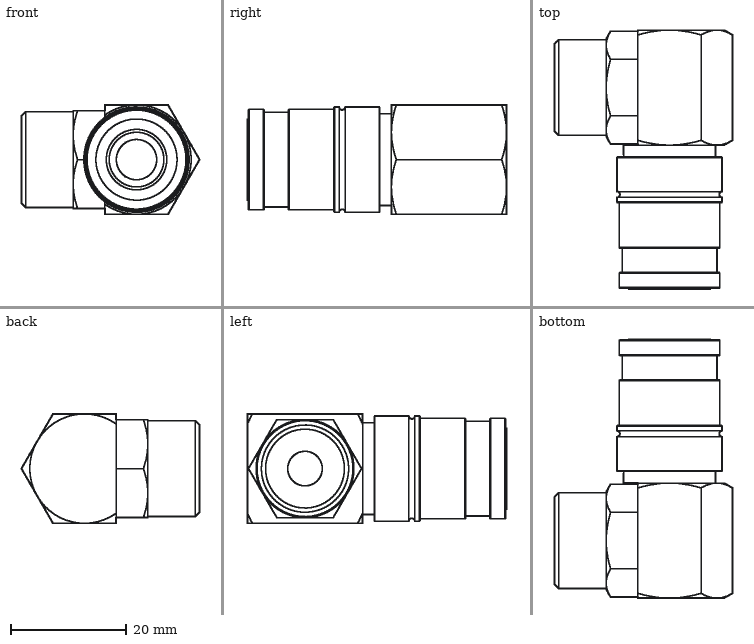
import cadquery as cq
import math


HEX_CHAMFER_ANGLE = math.radians(30)

BODY_FLATS = 19.0
BODY_LENGTH = 20.0
BODY_HALF_LENGTH = BODY_LENGTH / 2
BODY_CHAMFER_START_RADIUS = BODY_FLATS / 2

STUD_HEX_FLATS = 17.0
STUD_HEX_END = 11.0
STUD_HEX_CHAMFER_START_RADIUS = STUD_HEX_FLATS / 2
STUD_DIAMETER = 16.66
STUD_RADIUS = STUD_DIAMETER / 2
STUD_END = 20.0
STUD_TIP_CHAMFER = 0.75
STUD_BORE_RADIUS = 3.0
STUD_CONE_RADIUS = 6.85
STUD_CONE_HALF_ANGLE = math.radians(30)

NECK_RADIUS = 8.0
COLLAR_RADIUS = 9.15
SLEEVE_RADIUS = 8.75
WAIST_RADIUS = 8.25
LIP_RADIUS = 7.05

COLLAR_START = 12.0
COLLAR_END = 20.0
WAIST_START = 27.9
FLANGE_START = 32.1
COUPLING_END = 35.0
LIP_HEIGHT = 0.15
FLANGE_END = COUPLING_END - LIP_HEIGHT
EDGE_CHAMFER = 0.15

GROOVE_RADIUS = 0.5
GROOVE_CENTER = 18.55

SOCKET_RADIUS = 4.75
SOCKET_MOUTH_CHAMFER = 0.5
SOCKET_FLOOR = 15.0
PASSAGE_RADIUS = 3.5


def hex_corner_radius(flats):
    return flats / math.sqrt(3)


def revolve_about_y(points):
    """Turn a closed (radius, y) outline around the Y axis."""
    return cq.Workplane("XY").polyline(points).close().revolve(360, (0, 0, 0), (0, 1, 0))


def revolve_about_x(points):
    """Turn a closed (x, radius) outline around the X axis."""
    return cq.Workplane("XY").polyline(points).close().revolve(360, (0, 0, 0), (1, 0, 0))


def cylinder_section(radius, start, end, chamfer_start=0.0, chamfer_end=0.0):
    """Solid coupling cylinder running toward -Y, with optional edge chamfers."""
    section = cq.Workplane("XZ", origin=(0, -start, 0)).circle(radius).extrude(end - start)
    if chamfer_start:
        section = section.faces(">Y").chamfer(chamfer_start)
    if chamfer_end:
        section = section.faces("<Y").chamfer(chamfer_end)
    return section


def hexagonal_body():
    """Hexagon with both ends chamfered, cut flat where its -X corners lie."""
    corner_radius = hex_corner_radius(BODY_FLATS)
    flat_face_offset = corner_radius / 2
    chamfer_drop = (corner_radius - BODY_CHAMFER_START_RADIUS) * math.tan(HEX_CHAMFER_ANGLE)
    prism = (
        cq.Workplane("XZ", origin=(0, BODY_HALF_LENGTH, 0))
        .polygon(6, 2 * corner_radius)
        .extrude(BODY_LENGTH)
    )
    chamfered_ends = revolve_about_y([
        (0, -BODY_HALF_LENGTH),
        (BODY_CHAMFER_START_RADIUS, -BODY_HALF_LENGTH),
        (corner_radius, -BODY_HALF_LENGTH + chamfer_drop),
        (corner_radius, BODY_HALF_LENGTH - chamfer_drop),
        (BODY_CHAMFER_START_RADIUS, BODY_HALF_LENGTH),
        (0, BODY_HALF_LENGTH),
    ])
    kept_side = cq.Workplane("XY").box(
        flat_face_offset + corner_radius, BODY_LENGTH, BODY_FLATS, centered=(False, True, True)
    ).translate((-flat_face_offset, 0, 0))
    return prism.intersect(chamfered_ends).intersect(kept_side)


def stud():
    """Stud modelled as a plain cylinder at its thread diameter, standing on a smaller hexagon."""
    corner_radius = hex_corner_radius(STUD_HEX_FLATS)
    chamfer_drop = (corner_radius - STUD_HEX_CHAMFER_START_RADIUS) * math.tan(HEX_CHAMFER_ANGLE)
    prism = (
        cq.Workplane("YZ", origin=(-STUD_HEX_END, 0, 0))
        .polygon(6, 2 * corner_radius)
        .extrude(STUD_HEX_END)
    )
    chamfered_end = revolve_about_x([
        (-STUD_HEX_END, 0),
        (-STUD_HEX_END, STUD_HEX_CHAMFER_START_RADIUS),
        (-STUD_HEX_END + chamfer_drop, corner_radius),
        (0, corner_radius),
        (0, 0),
    ])
    barrel = (
        cq.Workplane("YZ", origin=(-STUD_END, 0, 0))
        .circle(STUD_RADIUS)
        .extrude(STUD_END)
        .faces("<X")
        .chamfer(STUD_TIP_CHAMFER)
    )
    return prism.intersect(chamfered_end).union(barrel)


def ring_groove():
    """Half-round groove, centred on the collar surface."""
    return (
        cq.Workplane("XY")
        .center(COLLAR_RADIUS, -GROOVE_CENTER)
        .circle(GROOVE_RADIUS)
        .revolve(360, (-COLLAR_RADIUS, 0, 0), (-COLLAR_RADIUS, 1, 0))
    )


def coupling():
    """Stepped round coupling, from the neck on the body face to its end lip."""
    collar = cylinder_section(COLLAR_RADIUS, COLLAR_START, COLLAR_END, EDGE_CHAMFER, EDGE_CHAMFER)
    sections = [
        collar.cut(ring_groove()),
        cylinder_section(SLEEVE_RADIUS, COLLAR_END, WAIST_START, chamfer_end=EDGE_CHAMFER),
        cylinder_section(WAIST_RADIUS, WAIST_START, FLANGE_START),
        cylinder_section(SLEEVE_RADIUS, FLANGE_START, FLANGE_END, EDGE_CHAMFER, EDGE_CHAMFER),
        cylinder_section(LIP_RADIUS, FLANGE_END, COUPLING_END),
    ]
    shape = cylinder_section(NECK_RADIUS, BODY_HALF_LENGTH, COLLAR_START)
    for section in sections:
        shape = shape.union(section)
    return shape


def stud_bore():
    """Conical seat at the stud mouth, leading into a round bore to the passage."""
    cone_depth = (STUD_CONE_RADIUS - STUD_BORE_RADIUS) / math.tan(STUD_CONE_HALF_ANGLE)
    return revolve_about_x([
        (-STUD_END, 0),
        (-STUD_END, STUD_CONE_RADIUS),
        (-STUD_END + cone_depth, STUD_BORE_RADIUS),
        (0, STUD_BORE_RADIUS),
        (0, 0),
    ])


def coupling_bore():
    """Chamfered socket and a blind passage that just clears the stud bore."""
    passage_end = PASSAGE_RADIUS
    return revolve_about_y([
        (0, -COUPLING_END),
        (SOCKET_RADIUS + SOCKET_MOUTH_CHAMFER, -COUPLING_END),
        (SOCKET_RADIUS, -COUPLING_END + SOCKET_MOUTH_CHAMFER),
        (SOCKET_RADIUS, -SOCKET_FLOOR),
        (PASSAGE_RADIUS, -SOCKET_FLOOR),
        (PASSAGE_RADIUS, passage_end),
        (0, passage_end),
    ])


solid_elbow = hexagonal_body().union(stud()).union(coupling())
result = solid_elbow.cut(stud_bore()).cut(coupling_bore())